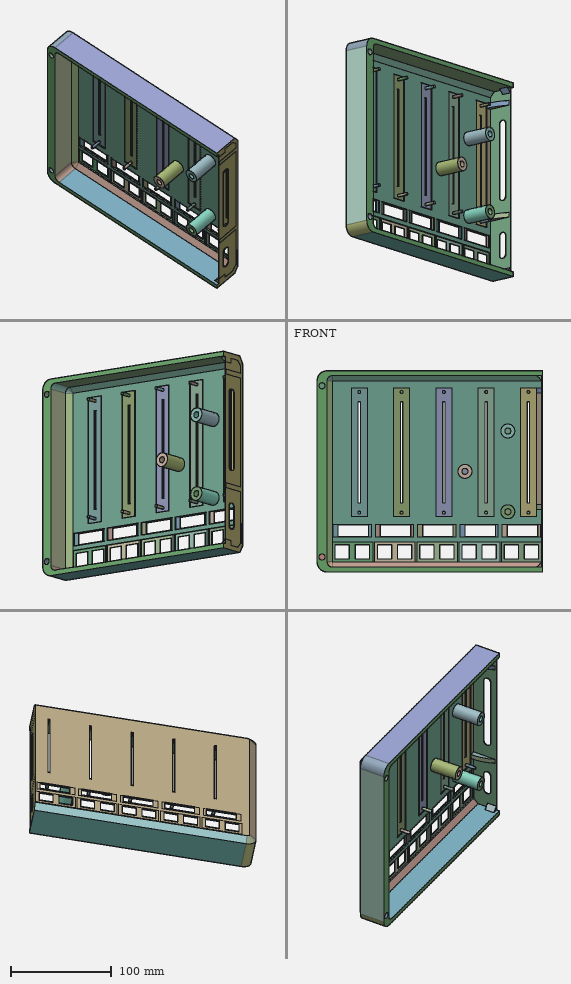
import cadquery as cq
import math

LENGTH = 224.0
DEPTH = 32.0
HEIGHT = 200.0
CORNER_RADIUS = 10.0
BEVEL_INSET = 7.5
BEVEL_DEPTH = 5.0
FLOOR = 2.5
LEFT_WALL = 10.0
SIDE_WALL = 5.0
END_WALL = 0.78
END_WALL_SETBACK = 3.1
CAVITY_BEVEL = 5.2
CAVITY_RADIUS = 5.4

FLOOR_Y = DEPTH - FLOOR
END_WALL_X = LENGTH - END_WALL
MID_Z = HEIGHT / 2

CHANNELS = 5
BUTTON_RECESS_WIDTH = 40.3
BUTTON_RECESS_GAP = 1.68
PITCH = BUTTON_RECESS_WIDTH + BUTTON_RECESS_GAP

SLIDER_Z = 119.0
SLIDER_RECESS = (16.0, 128.0)
SLIDER_SLOT = (2.0, 100.4)
SLIDER_RECESS_DEPTH = 1.0
PIN_DIAMETER = 3.0
PIN_SPACING = 119.8
PIN_END_Y = 19.5

WINDOW_RECESS_X = 35.0
WINDOW_X = 36.0
WINDOW_Z = 41.0
WINDOW_RECESS = (38.0, 12.8)
WINDOW = (30.0, 11.2)
WINDOW_RECESS_DEPTH = 1.5

BUTTON_RECESS_HEIGHT = 20.0
BUTTON_RECESS_X = LEFT_WALL + CAVITY_BEVEL + BUTTON_RECESS_WIDTH / 2
BUTTON_RECESS_DEPTH = 1.5
BUTTON_Z = 20.2
BUTTON = (14.0, 14.0)
BUTTON_SPACING = 20.0
FIRST_BUTTON_X = 25.0

PILLAR_DIAMETER = 14.0
SCREW_HOLE = 6.0
PILLAR_END_Y = 1.0
PILLAR_OFFSET_Z = 40.0
PILLARS = [
    (147.0, MID_Z),
    (189.5, MID_Z + PILLAR_OFFSET_Z),
    (189.5, MID_Z - PILLAR_OFFSET_Z),
]
RIM_HOLE_EDGE = 15.0
RIM_HOLE_DEPTH = 20.2

END_SLOT_Y = 14.0
END_SLOT_WIDTH = 8.0
END_SLOTS = [(21.3, 48.2), (81.0, 164.0)]
RIB_REACH = 5.4
RIB_THICKNESS = 5.0
RIB_CENTERS_Z = [64.7, 180.3]
RIB_END_Y = 5.0
BLOCK_LEG = 5.0
BLOCK_START_Y = 3.4
BLOCK_LENGTH = 10.0


def at_y(y):
    """Sketch plane facing -Y at depth y; its local axes are X and Z."""
    return cq.Workplane("XZ", origin=(0, y, 0))


def block(x0, x1, y0, y1, z0, z1):
    return cq.Workplane("XY").box(x1 - x0, y1 - y0, z1 - z0, centered=False).translate((x0, y0, z0))


def panel(center_x, center_z, size, y0, y1):
    """Rectangular block spanning y0 to y1."""
    return at_y(y0).center(center_x, center_z).rect(*size).extrude(y0 - y1)


def rod(center_x, center_z, diameter, y0, y1):
    return at_y(y0).center(center_x, center_z).circle(diameter / 2).extrude(y0 - y1)


def tray_solid(x0, x1, margin, depth, radius, bevel_depth, bevel_inset):
    """Plate with rounded -X corners, bevelled at its +Y end on all sides but +X."""
    bevel_start = depth - bevel_depth
    bevel_angle = math.degrees(math.atan2(bevel_inset, bevel_depth))
    width = 2 * (x1 - x0)
    height = HEIGHT - 2 * margin
    outline = cq.Sketch().rect(width, height).vertices().fillet(radius)
    straight = at_y(0).center(x1, MID_Z).placeSketch(outline).extrude(-bevel_start)
    bevel_plane = at_y(bevel_start).center(x1, MID_Z)
    bevelled = bevel_plane.placeSketch(outline).extrude(-bevel_depth, taper=bevel_angle)
    return straight.union(bevelled).intersect(block(x0, x1, 0, depth, 0, HEIGHT))


def shell():
    outer = tray_solid(0, LENGTH, 0, DEPTH, CORNER_RADIUS, BEVEL_DEPTH, BEVEL_INSET)
    cavity = tray_solid(
        LEFT_WALL, END_WALL_X, SIDE_WALL, FLOOR_Y, CAVITY_RADIUS, CAVITY_BEVEL, CAVITY_BEVEL
    )
    rim_gap = block(END_WALL_X, LENGTH, 0, END_WALL_SETBACK, SIDE_WALL, HEIGHT - SIDE_WALL)
    return outer.cut(cavity).cut(rim_gap)


def cut_channel(body, index):
    shift = index * PITCH
    slider_x = PITCH + shift
    window_x = WINDOW_X + shift
    button_recess = (BUTTON_RECESS_WIDTH, BUTTON_RECESS_HEIGHT)
    button_recess_z = SIDE_WALL + CAVITY_BEVEL + BUTTON_RECESS_HEIGHT / 2

    recesses = [
        (slider_x, SLIDER_Z, SLIDER_RECESS, SLIDER_RECESS_DEPTH),
        (WINDOW_RECESS_X + shift, WINDOW_Z, WINDOW_RECESS, WINDOW_RECESS_DEPTH),
        (BUTTON_RECESS_X + shift, button_recess_z, button_recess, BUTTON_RECESS_DEPTH),
    ]
    for x, z, size, depth in recesses:
        body = body.cut(panel(x, z, size, FLOOR_Y, FLOOR_Y + depth))

    first_button_x = FIRST_BUTTON_X + shift
    openings = [
        (slider_x, SLIDER_Z, SLIDER_SLOT),
        (window_x, WINDOW_Z, WINDOW),
        (first_button_x, BUTTON_Z, BUTTON),
        (first_button_x + BUTTON_SPACING, BUTTON_Z, BUTTON),
    ]
    for x, z, size in openings:
        body = body.cut(panel(x, z, size, FLOOR_Y, DEPTH))

    for side in (-1, 1):
        pin_z = SLIDER_Z + side * PIN_SPACING / 2
        body = body.union(rod(slider_x, pin_z, PIN_DIAMETER, PIN_END_Y, FLOOR_Y + SLIDER_RECESS_DEPTH))
    return body


def add_pillars(body):
    for x, z in PILLARS:
        body = body.union(rod(x, z, PILLAR_DIAMETER, PILLAR_END_Y, FLOOR_Y))
        body = body.cut(rod(x, z, SCREW_HOLE, PILLAR_END_Y, FLOOR_Y))
    return body


def cut_rim_holes(body):
    for z in (RIM_HOLE_EDGE, HEIGHT - RIM_HOLE_EDGE):
        body = body.cut(rod(LEFT_WALL / 2, z, SCREW_HOLE, 0, RIM_HOLE_DEPTH))
    return body


def cut_end_slots(body):
    for low, high in END_SLOTS:
        slot = (
            cq.Workplane("YZ", origin=(END_WALL_X, END_SLOT_Y, (low + high) / 2))
            .slot2D(high - low, END_SLOT_WIDTH, 90)
            .extrude(END_WALL)
        )
        body = body.cut(slot)
    return body


def add_end_ribs(body):
    """Ribs whose free edge is an arc, square to the floor and meeting the end wall near the rim."""
    span = FLOOR_Y - RIB_END_Y
    arc_radius = (span**2 + RIB_REACH**2) / (2 * RIB_REACH)
    half_span = span / 2
    mid_drop = arc_radius - math.sqrt(arc_radius**2 - half_span**2)
    mid_reach = RIB_REACH - mid_drop
    for z in RIB_CENTERS_Z:
        rib = (
            cq.Workplane("XY", origin=(0, 0, z - RIB_THICKNESS / 2))
            .moveTo(END_WALL_X, FLOOR_Y)
            .lineTo(END_WALL_X - RIB_REACH, FLOOR_Y)
            .threePointArc((END_WALL_X - mid_reach, FLOOR_Y - half_span), (END_WALL_X, RIB_END_Y))
            .close()
            .extrude(RIB_THICKNESS)
        )
        body = body.union(rib)
    return body


def add_corner_blocks(body):
    lower = (
        at_y(BLOCK_START_Y)
        .moveTo(END_WALL_X, SIDE_WALL)
        .lineTo(END_WALL_X - BLOCK_LEG, SIDE_WALL)
        .lineTo(END_WALL_X, SIDE_WALL + BLOCK_LEG)
        .close()
        .extrude(-BLOCK_LENGTH)
    )
    upper = lower.mirror("XY", (0, 0, MID_Z))
    return body.union(lower).union(upper)


result = shell()
for channel in range(CHANNELS):
    result = cut_channel(result, channel)
result = add_pillars(result)
result = cut_rim_holes(result)
result = cut_end_slots(result)
result = add_end_ribs(result)
result = add_corner_blocks(result)